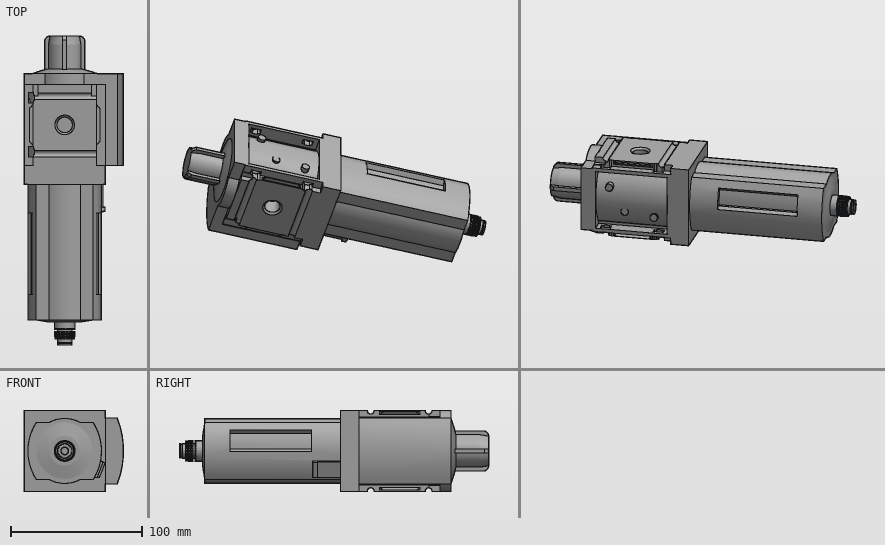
import cadquery as cq

HOUSING_HALF = 30.95
CAP_TOP = 84.3
CAP_BOTTOM = 75.8
FOOT_TOP = 14.1
CAP_HALF_HEIGHT = 25.2
HUMP_HALF_WIDTH = 14.8
COVER_END_X = 44.84
COVER_EDGE_X = 40.0

LEDGE_HALF_HEIGHT = 26.0
PLATE_HALF_WIDTH = 24.2
CORNER_NOTCH_X = 20.2
CORNER_NOTCH_Y = 67.3
CORNER_NOTCH_FLOOR = 26.4
GROOVE_CENTERS_Y = (67.0, 23.0)
GROOVE_WIDTH = 5.0
GROOVE_DEPTH = 2.8
PORT_Y = 45.2
PORT_DIAMETER = 11.8
PORT_MOUTH_DIAMETER = 14.8
PORT_DEPTH = 14.1
LIP_REACH = 2.7
LIP_TOP = 30.0
LIP_ROOT = 27.8
LIP_HALF_LENGTH = 12.5
LIP_HALF_ROOT_LENGTH = 15.3

LATCH_CENTERS_Y = (66.0, 24.7)
LATCH_LENGTH = 7.8
LATCH_OUTER_X = -27.5
LATCH_INNER_X = -23.8
LATCH_MOUTH_LENGTH = 4.2
LATCH_MOUTH_X = -22.8

POCKET_BOTTOM_Y = 17.0
POCKET_TOP_Y = 73.0
POCKET_HALF_HEIGHT = 23.0
POCKET_FLOOR_X = -20.2
BARREL_HALF_HEIGHT = 20.7
BARREL_EDGE_X = -21.0
BARREL_APEX_X = -29.7
PIN_DIAMETER = 6.0
PINS = ((62.4, 10.8, -30.8), (50.5, -8.5, -29.0), (27.5, -10.8, -30.1))

DOME_RADIUS = 24.7
DOME_HEIGHT = 4.7
KNOB_TOP = 113.0
KNOB_CORE_RADIUS = 12.5
KNOB_TIP_RADIUS = 11.3
KNOB_TAPER_Y = 106.1
RIB_RADIUS = 15.3
RIB_WIDTH = 3.0
RIB_ROUND_START_Y = 109.7
RIB_ROUND_MIDDLE = (14.0, 111.8)
RIB_COUNT = 4

BOWL_END = -103.3
BOWL_SIDE_X = 28.0
BOWL_CORNER_X = 21.7
BOWL_FLAT_Z = 21.7
BOWL_CORE_RADIUS = 24.7
END_CONE_RADIUS = 21.5
END_CONE_TIP_RADIUS = 11.41
END_CONE_HEIGHT = 1.6
WINDOW_TOP_Y = -22.0
WINDOW_BOTTOM_Y = -84.0
WINDOW_LOW_Z = -0.5
WINDOW_SILL_EDGE = (25.7, 1.6)
WINDOW_FLOOR_LOW = (23.0, 1.6)
WINDOW_FLOOR_MIDDLE = (22.5, 7.5)
WINDOW_FLOOR_HIGH = (21.2, 13.2)
WINDOW_UPPER_EDGE = (25.0, 16.0)
BUTTON_PLATE_OUTLINE = ((21.2, -20.2), (24.7, -20.2), (29.2, -8.5), (26.0, -7.0))
GRIP_OUTLINE = ((21.2, -20.2), (26.4, -20.2), (30.8, -9.0), (26.0, -7.0))
BUTTON_PLATE_END = -21.2
GRIP_TOP_Y = -17.5
GRIP_END = -20.7

CUT_MARGIN = 2.4

DRAIN_END = -122.5
DRAIN_COLLAR_END = -110.6
DRAIN_GROOVE_END = -112.0
KNURL_STEP_Y = -116.0
KNURL_END = -118.0
RIM_GROOVE_START = -120.3
RIM_GROOVE_END = -121.2
COLLAR_RADIUS = 7.88
KNURL_STEP_RADIUS = 7.5
NECK_RADIUS = 5.6
RIM_RADIUS = 5.53
RIM_GROOVE_RADIUS = 5.0
DRAIN_BORE_DIAMETER = 5.5
DRAIN_BORE_DEPTH = 9.5
DRAIN_MOUTH_DIAMETER = 6.0
DRAIN_MOUTH_DEPTH = 1.2
KNURL_COUNT = 24
KNURL_NOTCH_WIDTH = 0.82
KNURL_ROOT_RADIUS = 6.8
KNURL_TOP = -110.0
KNURL_RINGS_Y = (-114.0, -116.0)
KNURL_RING_WIDTH = 0.6


def box_between(x, y, z):
    """Box spanning the given (low, high) pairs along X, Y and Z."""
    size = [high - low for low, high in (x, y, z)]
    return cq.Workplane("XY").box(*size, centered=False).translate((x[0], y[0], z[0]))


def along_y(outline, start, end):
    """Extrude an outline drawn as (X, Z) on the XZ plane from Y = start to Y = end."""
    return outline.extrude(start - end).translate((0, start, 0))


def section():
    return cq.Workplane("XZ")


def revolved(profile):
    """Turn a closed (radius, Y) profile around the Y axis."""
    return profile.close().revolve(360, (0, 0, 0), (0, 1, 0))


def both_sides(shape, plane):
    """The shape together with its mirror image."""
    return shape.union(shape.mirror(plane))


def housing_block():
    foot = box_between((-HOUSING_HALF, HOUSING_HALF), (0, FOOT_TOP), (-HOUSING_HALF, HOUSING_HALF))
    frame = box_between(
        (-HOUSING_HALF, HOUSING_HALF), (FOOT_TOP, CAP_BOTTOM), (-LEDGE_HALF_HEIGHT, LEDGE_HALF_HEIGHT)
    )
    plates = box_between(
        (-PLATE_HALF_WIDTH, PLATE_HALF_WIDTH), (FOOT_TOP, CAP_BOTTOM), (-HOUSING_HALF, HOUSING_HALF)
    )
    return foot.union(frame).union(plates)


def cap():
    outline = (
        section()
        .moveTo(-HOUSING_HALF, -CAP_HALF_HEIGHT)
        .lineTo(-HUMP_HALF_WIDTH, -CAP_HALF_HEIGHT)
        .threePointArc((0, -HOUSING_HALF), (HUMP_HALF_WIDTH, -CAP_HALF_HEIGHT))
        .lineTo(HOUSING_HALF, -CAP_HALF_HEIGHT)
        .lineTo(HOUSING_HALF, CAP_HALF_HEIGHT)
        .lineTo(HUMP_HALF_WIDTH, CAP_HALF_HEIGHT)
        .threePointArc((0, HOUSING_HALF), (-HUMP_HALF_WIDTH, CAP_HALF_HEIGHT))
        .lineTo(-HOUSING_HALF, CAP_HALF_HEIGHT)
        .close()
    )
    return along_y(outline, CAP_BOTTOM, CAP_TOP)


def cover():
    outline = (
        section()
        .moveTo(0, -CAP_HALF_HEIGHT)
        .lineTo(COVER_EDGE_X, -CAP_HALF_HEIGHT)
        .threePointArc((COVER_END_X, 0), (COVER_EDGE_X, CAP_HALF_HEIGHT))
        .lineTo(0, CAP_HALF_HEIGHT)
        .close()
    )
    return along_y(outline, FOOT_TOP, CAP_TOP)


def dome():
    sphere_radius = (DOME_RADIUS**2 + DOME_HEIGHT**2) / (2 * DOME_HEIGHT)
    mid_radius = DOME_RADIUS / 2
    mid_height = DOME_HEIGHT - sphere_radius + (sphere_radius**2 - mid_radius**2) ** 0.5
    return revolved(
        cq.Workplane("XY")
        .moveTo(0, CAP_TOP)
        .lineTo(DOME_RADIUS, CAP_TOP)
        .threePointArc((mid_radius, CAP_TOP + mid_height), (0, CAP_TOP + DOME_HEIGHT))
    )


def knob():
    core = revolved(
        cq.Workplane("XY")
        .moveTo(0, CAP_TOP)
        .lineTo(KNOB_CORE_RADIUS, CAP_TOP)
        .lineTo(KNOB_CORE_RADIUS, KNOB_TAPER_Y)
        .lineTo(KNOB_TIP_RADIUS, KNOB_TOP)
        .lineTo(0, KNOB_TOP)
    )
    rib = (
        cq.Workplane("XY")
        .moveTo(0, CAP_TOP)
        .lineTo(RIB_RADIUS, CAP_TOP)
        .lineTo(RIB_RADIUS, RIB_ROUND_START_Y)
        .threePointArc(RIB_ROUND_MIDDLE, (KNOB_TIP_RADIUS, KNOB_TOP))
        .lineTo(0, KNOB_TOP)
        .close()
        .extrude(RIB_WIDTH / 2, both=True)
    )
    for index in range(RIB_COUNT):
        core = core.union(rib.rotate((0, 0, 0), (0, 1, 0), index * 360 / RIB_COUNT))
    return core


def dovetail_lips():
    wedge = section().polyline([
        (PLATE_HALF_WIDTH, LIP_ROOT),
        (PLATE_HALF_WIDTH + LIP_REACH, LIP_TOP),
        (PLATE_HALF_WIDTH, LIP_TOP),
    ]).close()
    wedge = along_y(wedge, PORT_Y - LIP_HALF_ROOT_LENGTH, PORT_Y + LIP_HALF_ROOT_LENGTH)
    plan = (
        cq.Workplane("XY")
        .polyline([
            (PLATE_HALF_WIDTH, PORT_Y - LIP_HALF_ROOT_LENGTH),
            (PLATE_HALF_WIDTH + LIP_REACH, PORT_Y - LIP_HALF_LENGTH),
            (PLATE_HALF_WIDTH + LIP_REACH, PORT_Y + LIP_HALF_LENGTH),
            (PLATE_HALF_WIDTH, PORT_Y + LIP_HALF_ROOT_LENGTH),
        ])
        .close()
        .extrude(HOUSING_HALF)
    )
    return both_sides(both_sides(wedge.intersect(plan), "YZ"), "XY")


def plate_grooves():
    half = GROOVE_WIDTH / 2
    cuts = cq.Workplane("YZ")
    for center in GROOVE_CENTERS_Y:
        cuts = (
            cuts.moveTo(center - half, HOUSING_HALF)
            .threePointArc((center, HOUSING_HALF - GROOVE_DEPTH), (center + half, HOUSING_HALF))
            .close()
        )
    return both_sides(cuts.extrude(PLATE_HALF_WIDTH, both=True), "XY")


def plate_corner_notches():
    notch = box_between(
        (CORNER_NOTCH_X, PLATE_HALF_WIDTH), (CORNER_NOTCH_Y, CAP_BOTTOM), (CORNER_NOTCH_FLOOR, HOUSING_HALF)
    )
    return both_sides(both_sides(notch, "YZ"), "XY")


def ports():
    bore = cq.Workplane("XY").circle(PORT_DIAMETER / 2).extrude(-PORT_DEPTH)
    sink_depth = (PORT_MOUTH_DIAMETER - PORT_DIAMETER) / 2
    sink = (
        cq.Workplane("XY")
        .circle(PORT_MOUTH_DIAMETER / 2)
        .workplane(offset=-sink_depth)
        .circle(PORT_DIAMETER / 2)
        .loft()
    )
    return both_sides(bore.union(sink).translate((0, PORT_Y, HOUSING_HALF)), "XY")


def latch_slots():
    cuts = cq.Workplane("XY")
    for center in LATCH_CENTERS_Y:
        for length, end in ((LATCH_LENGTH, LATCH_INNER_X), (LATCH_MOUTH_LENGTH, LATCH_MOUTH_X)):
            cuts = cuts.union(box_between(
                (LATCH_OUTER_X, end),
                (center - length / 2, center + length / 2),
                (POCKET_HALF_HEIGHT, HOUSING_HALF),
            ))
    return both_sides(cuts, "XY")


def side_pocket():
    outline = (
        section()
        .moveTo(-HOUSING_HALF, POCKET_HALF_HEIGHT)
        .lineTo(POCKET_FLOOR_X, POCKET_HALF_HEIGHT)
        .lineTo(POCKET_FLOOR_X, BARREL_HALF_HEIGHT)
        .lineTo(BARREL_EDGE_X, BARREL_HALF_HEIGHT)
        .threePointArc((BARREL_APEX_X, 0), (BARREL_EDGE_X, -BARREL_HALF_HEIGHT))
        .lineTo(POCKET_FLOOR_X, -BARREL_HALF_HEIGHT)
        .lineTo(POCKET_FLOOR_X, -POCKET_HALF_HEIGHT)
        .lineTo(-HOUSING_HALF, -POCKET_HALF_HEIGHT)
        .close()
    )
    return along_y(outline, POCKET_BOTTOM_Y, POCKET_TOP_Y)


def pocket_pins():
    pins = cq.Workplane("YZ")
    for y, z, end in PINS:
        pin = cq.Workplane("YZ").center(y, z).circle(PIN_DIAMETER / 2).extrude(POCKET_FLOOR_X - end)
        pins = pins.union(pin.translate((end, 0, 0)))
    return pins


def build_housing():
    body = housing_block().union(cap()).union(cover()).union(dome()).union(knob())
    body = body.cut(plate_grooves()).cut(plate_corner_notches()).cut(ports())
    body = body.cut(side_pocket()).cut(latch_slots())
    return body.union(pocket_pins()).union(dovetail_lips()).solids()


def bowl_shell():
    outline = (
        section()
        .moveTo(-BOWL_CORNER_X, BOWL_FLAT_Z)
        .lineTo(BOWL_CORNER_X, BOWL_FLAT_Z)
        .threePointArc((BOWL_SIDE_X, 0), (BOWL_CORNER_X, -BOWL_FLAT_Z))
        .lineTo(-BOWL_CORNER_X, -BOWL_FLAT_Z)
        .threePointArc((-BOWL_SIDE_X, 0), (-BOWL_CORNER_X, BOWL_FLAT_Z))
        .close()
    )
    core = section().circle(BOWL_CORE_RADIUS)
    return along_y(outline, BOWL_END, 0).union(along_y(core, BOWL_END, 0))


def windows():
    """Recessed windows in both curved sides, with a slanted sill edge and upper wall."""
    outside_x = BOWL_SIDE_X + CUT_MARGIN
    outline = (
        section()
        .moveTo(outside_x, WINDOW_LOW_Z)
        .lineTo(BOWL_SIDE_X, WINDOW_LOW_Z)
        .lineTo(*WINDOW_SILL_EDGE)
        .lineTo(*WINDOW_FLOOR_LOW)
        .threePointArc(WINDOW_FLOOR_MIDDLE, WINDOW_FLOOR_HIGH)
        .lineTo(*WINDOW_UPPER_EDGE)
        .lineTo(outside_x, WINDOW_UPPER_EDGE[1])
        .close()
    )
    return both_sides(along_y(outline, WINDOW_BOTTOM_Y, WINDOW_TOP_Y), "YZ")


def release_button():
    """Locking slide on the lower +X side: a thin plate with a raised finger grip at its end."""
    plate = section().polyline(BUTTON_PLATE_OUTLINE).close()
    grip = section().polyline(GRIP_OUTLINE).close()
    return along_y(plate, BUTTON_PLATE_END, 0).union(along_y(grip, GRIP_END, GRIP_TOP_Y))


def drain_fitting():
    cone_tip = BOWL_END - END_CONE_HEIGHT
    turned = revolved(cq.Workplane("XY").polyline([
        (0, BOWL_END),
        (END_CONE_RADIUS, BOWL_END),
        (END_CONE_TIP_RADIUS, cone_tip),
        (COLLAR_RADIUS, cone_tip),
        (COLLAR_RADIUS, DRAIN_COLLAR_END),
        (NECK_RADIUS, DRAIN_COLLAR_END),
        (NECK_RADIUS, DRAIN_GROOVE_END),
        (COLLAR_RADIUS, DRAIN_GROOVE_END),
        (COLLAR_RADIUS, KNURL_STEP_Y),
        (KNURL_STEP_RADIUS, KNURL_STEP_Y),
        (KNURL_STEP_RADIUS, KNURL_END),
        (NECK_RADIUS, KNURL_END),
        (NECK_RADIUS, RIM_GROOVE_START),
        (RIM_GROOVE_RADIUS, RIM_GROOVE_START),
        (RIM_GROOVE_RADIUS, RIM_GROOVE_END),
        (RIM_RADIUS, RIM_GROOVE_END),
        (RIM_RADIUS, DRAIN_END),
        (0, DRAIN_END),
    ]))
    notch = box_between(
        (KNURL_ROOT_RADIUS, COLLAR_RADIUS + CUT_MARGIN),
        (KNURL_END, KNURL_TOP),
        (-KNURL_NOTCH_WIDTH / 2, KNURL_NOTCH_WIDTH / 2),
    )
    for index in range(KNURL_COUNT):
        turned = turned.cut(notch.rotate((0, 0, 0), (0, 1, 0), index * 360 / KNURL_COUNT))
    for y in KNURL_RINGS_Y:
        ring = section().circle(COLLAR_RADIUS + CUT_MARGIN).circle(KNURL_ROOT_RADIUS)
        turned = turned.cut(along_y(ring, y - KNURL_RING_WIDTH / 2, y + KNURL_RING_WIDTH / 2))
    bore = along_y(section().circle(DRAIN_BORE_DIAMETER / 2), DRAIN_END, DRAIN_END + DRAIN_BORE_DEPTH)
    mouth = along_y(section().circle(DRAIN_MOUTH_DIAMETER / 2), DRAIN_END, DRAIN_END + DRAIN_MOUTH_DEPTH)
    return turned.cut(bore).cut(mouth)


def build_bowl():
    return bowl_shell().cut(windows()).union(release_button()).union(drain_fitting()).solids()


housing = build_housing()
bowl = build_bowl()
result = cq.Compound.makeCompound([housing.val(), bowl.val()])